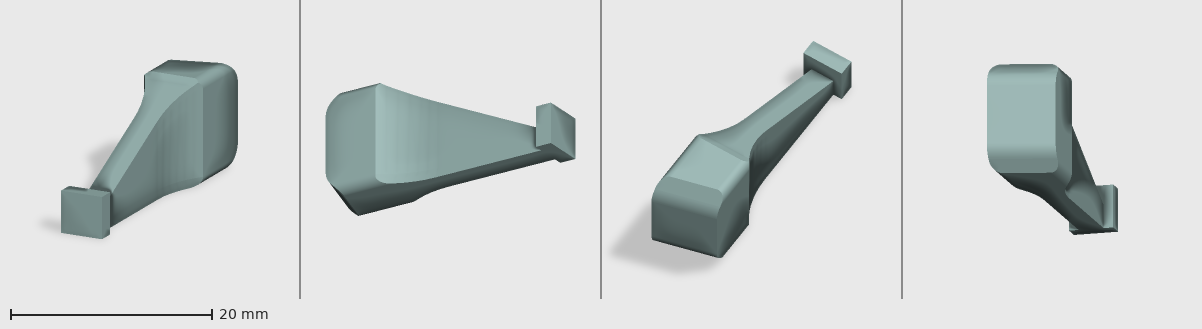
import cadquery as cq
import math

length = 27.53
width = 6.6
height = 11.15

corner_radius = 1.0
head_start = 19.93
end_angle = 15.0
end_chamfer = 1.73
end_round_radius = 2.0

neck_width = 2.6
flare_start = 13.93
bottom_flare_offset = 0.22
slope_low_height = 2.37
slope_break_y = 19.05
slope_break_height = 10.63

foot_width = 4.57
foot_length = 1.75
foot_height = 4.4


def plan_outline(base_z, flare_offset):
    """Plan outline of neck, flares and head; the flares are moved toward the head by flare_offset."""
    half = width / 2
    half_neck = neck_width / 2
    rise = half - half_neck
    run = head_start - flare_start
    flare_radius = (rise**2 + run**2) / (2 * rise)
    half_arc = math.asin(run / flare_radius) / 2
    mid_x = half_neck + flare_radius * (1 - math.cos(half_arc))
    near_y = flare_start + flare_offset
    mid_y = near_y + flare_radius * math.sin(half_arc)
    far_y = head_start + flare_offset
    short_side = length - width * math.tan(math.radians(end_angle))
    return (
        cq.Workplane("XY", origin=(0, 0, base_z))
        .moveTo(half_neck, 0)
        .lineTo(half_neck, near_y)
        .threePointArc((mid_x, mid_y), (half, far_y))
        .lineTo(half, length)
        .lineTo(-half, short_side)
        .lineTo(-half, far_y)
        .threePointArc((-mid_x, mid_y), (-half_neck, near_y))
        .lineTo(-half_neck, 0)
        .close()
    )


def plan_body():
    """Straight-walled body above a low band whose flares lean inward toward the bottom."""
    upper = plan_outline(corner_radius, 0).extrude(height - corner_radius)
    band_wires = [
        plan_outline(0, bottom_flare_offset).wire().val(),
        plan_outline(corner_radius, 0).wire().val(),
    ]
    band = cq.Solid.makeLoft(band_wires, True)
    return upper.union(cq.Workplane(obj=band))


def rounded_bar():
    """Full-length bar whose four long edges are rounded."""
    return (
        cq.Workplane("XY")
        .box(width, length, height, centered=(True, False, False))
        .edges("|Y")
        .fillet(corner_radius)
    )


def side_profile():
    """Side outline: low at the foot, rising in a straight slope to the head."""
    outline = [
        (0, 0),
        (length, 0),
        (length, height),
        (head_start, height),
        (slope_break_y, slope_break_height),
        (foot_length, slope_low_height),
        (0, slope_low_height),
    ]
    return cq.Workplane("YZ").polyline(outline).close().extrude(width / 2, both=True)


def end_envelope():
    """Slanted block that bevels and rounds the top and bottom of the head's end."""
    block_width = 4 * width
    block_length = 2 * length
    block = (
        cq.Workplane("XY")
        .box(block_width, block_length, height, centered=(True, True, False))
        .edges(">Y and |X")
        .chamfer(end_chamfer)
        .faces(">Y")
        .edges("|X")
        .fillet(end_round_radius)
    )
    return (
        block.translate((0, -block_length / 2, 0))
        .rotate((0, 0, 0), (0, 0, 1), end_angle)
        .translate((width / 2, length, 0))
    )


def foot():
    """Rectangular plate across the thin end of the neck."""
    return cq.Workplane("XY").box(
        foot_width, foot_length, foot_height, centered=(True, False, False)
    )


body = plan_body().intersect(rounded_bar()).intersect(side_profile()).intersect(end_envelope())
result = body.union(foot())